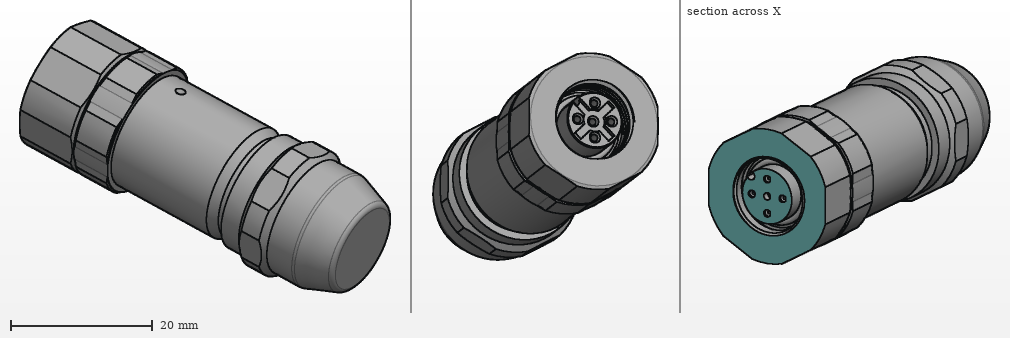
import cadquery as cq
import math


FLAT_HALF = 9.5
CORNER_RADIUS = 19.77 / 2
CHAMFER_RADIUS = 9.35

NUT_FRONT = 0.55
NUT_REAR = 9.95
NUT_FRONT_CHAMFER = 0.15
NUT_REAR_CHAMFER = 0.4
BORE_RADIUS = 11 / 2
RELIEF_RADIUS = 12.5 / 2
RELIEF_START = 5.0
BORE_FLOOR = 6.6

THREAD_PITCH = 1.0
THREAD_TURNS = 4.2
THREAD_RADIUS = 6.1
THREAD_HALF_WIDTH = 0.46
THREAD_OVERLAP = 0.1
THREAD_START_ANGLE = 205

RING_FRONT = 10.2
RING_REAR = 16.1
RING_CHAMFER = 0.25
LOBE_RADIUS = 19.18 / 2
NECK_RADIUS = 16.5 / 2

BODY_RADIUS = 17.5 / 2
BODY_REAR = 32.85
GROOVE_RADIUS = 15.8 / 2
GROOVE_FRONT = 34.3
GROOVE_REAR = 35.6
CLAMP_RADIUS = 18 / 2
CLAMP_HEX_FRONT = 38.7
CLAMP_HEX_REAR = 43.65
CLAMP_FRONT_CHAMFER = 0.85
CLAMP_REAR_CHAMFER = 1.0
TAPER_START = 48.2
OVERALL_LENGTH = 53.7
END_RADIUS = 7.0
END_FILLET = 0.9
TAPER_BLEND = 1.3

DIMPLE_X = 19.8
DIMPLE_TILT = 18
DIMPLE_RADIUS = 1.5 / 2
DIMPLE_FLOOR_RADIUS = 0.22
DIMPLE_DEPTH = 0.65

INSERT_RADIUS = 4.05
INSERT_CHAMFER = 0.15
SHOULDER_RADIUS = 5.4
SHOULDER_FRONT = 5.6
SHOULDER_FILLET = 0.5
SEAL_CENTRE_RADIUS = 8.8 / 2
SEAL_SECTION_RADIUS = 0.5
KEYWAY_RADIUS = 1.1 / 2
KEYWAY_OFFSET = 3.7
SLOT_WIDTH = 1.2
SLOT_HALF_LENGTH = 3.5
SLOT_DEPTH = 0.8
CENTRE_POCKET_RADIUS = 1.65

CONTACT_CIRCLE_RADIUS = 2.5
COUNTERSINK_RADIUS = 1.58 / 2
COUNTERSINK_DEPTH = 0.35
SOCKET_RADIUS = 1.0 / 2
SOCKET_DEPTH = 3.0
OUTER_TIP_RADIUS = 0.22
CENTRE_TIP_RADIUS = 0.45


def turned(points):
    """Solid of revolution about X from (x, radius) points."""
    return cq.Workplane("XY").polyline(points).close().revolve(360, (0, 0, 0), (1, 0, 0))


def cylinder(x_start, x_end, radius, y=0, z=0):
    """Cylinder along X."""
    return cq.Workplane("YZ", origin=(x_start, y, z)).circle(radius).extrude(x_end - x_start)


def hexagon(x_start, x_end, front_chamfer, rear_chamfer, chamfer_radius):
    """Hexagonal prism with its corners turned round and both ends chamfered."""
    across_corners = 2 * FLAT_HALF / math.cos(math.radians(30))
    prism = (
        cq.Workplane("YZ", origin=(x_start, 0, 0))
        .transformed(rotate=(0, 0, 30))
        .polygon(6, across_corners)
        .extrude(x_end - x_start)
    )
    envelope = turned([
        (x_start, 0),
        (x_start, chamfer_radius),
        (x_start + front_chamfer, CORNER_RADIUS),
        (x_end - rear_chamfer, CORNER_RADIUS),
        (x_end, chamfer_radius),
        (x_end, 0),
    ])
    return prism.intersect(envelope)


def thread_groove():
    """Helical V groove that runs out through the front face of the nut."""
    start = NUT_FRONT - THREAD_PITCH
    inner = BORE_RADIUS - THREAD_OVERLAP
    helix = cq.Wire.makeHelix(THREAD_PITCH, THREAD_TURNS * THREAD_PITCH, inner)
    groove = (
        cq.Workplane("XZ")
        .polyline([
            (inner, -THREAD_HALF_WIDTH),
            (THREAD_RADIUS, 0),
            (inner, THREAD_HALF_WIDTH),
        ])
        .close()
        .sweep(cq.Workplane(helix), isFrenet=True)
    )
    return (
        groove.rotate((0, 0, 0), (0, 1, 0), 90)
        .rotate((0, 0, 0), (1, 0, 0), THREAD_START_ANGLE)
        .translate((start, 0, 0))
    )


def coupling_nut():
    """Front nut with a threaded bore that ends in a wider relief."""
    nut = hexagon(NUT_FRONT, NUT_REAR, NUT_FRONT_CHAMFER, NUT_REAR_CHAMFER, CHAMFER_RADIUS)
    nut = nut.cut(cylinder(NUT_FRONT, BORE_FLOOR, BORE_RADIUS))
    nut = nut.cut(cylinder(RELIEF_START, BORE_FLOOR, RELIEF_RADIUS))
    return nut.cut(thread_groove())


def grip_ring():
    """Hexagonal ring whose flats carry shallow round lobes."""
    hexed = hexagon(RING_FRONT, RING_REAR, RING_CHAMFER, RING_CHAMFER, CHAMFER_RADIUS)
    return hexed.union(cylinder(RING_FRONT, RING_REAR, LOBE_RADIUS))


def dimple():
    """Tapered dimple pointing at the axis, tilted from +Z towards +Y."""
    cone = cq.Solid.makeCone(
        DIMPLE_FLOOR_RADIUS,
        2 * DIMPLE_RADIUS - DIMPLE_FLOOR_RADIUS,
        2 * DIMPLE_DEPTH,
        pnt=cq.Vector(DIMPLE_X, 0, BODY_RADIUS - DIMPLE_DEPTH),
        dir=cq.Vector(0, 0, 1),
    )
    return cq.Workplane(cone).rotate((0, 0, 0), (1, 0, 0), -DIMPLE_TILT)


def sleeve():
    """Neck behind the coupling nut, cylindrical sleeve and the groove behind it."""
    body = turned([
        (NUT_REAR, 0),
        (NUT_REAR, NECK_RADIUS),
        (RING_FRONT, NECK_RADIUS),
        (RING_FRONT, BODY_RADIUS),
        (BODY_REAR, BODY_RADIUS),
        (GROOVE_FRONT, GROOVE_RADIUS),
        (GROOVE_REAR, GROOVE_RADIUS),
        (GROOVE_REAR, 0),
    ])
    return body.cut(dimple())


def clamping_nut():
    """Rear nut with a hexagonal collar and a tapered, rounded end."""
    cap = turned([
        (GROOVE_REAR, 0),
        (GROOVE_REAR, CLAMP_RADIUS),
        (TAPER_START, CLAMP_RADIUS),
        (OVERALL_LENGTH, END_RADIUS),
        (OVERALL_LENGTH, 0),
    ])
    cap = cap.faces(">X").edges().fillet(END_FILLET)
    taper_edge = cq.selectors.BoxSelector(
        (TAPER_START - TAPER_BLEND / 2, -CORNER_RADIUS, -CORNER_RADIUS),
        (TAPER_START + TAPER_BLEND / 2, CORNER_RADIUS, CORNER_RADIUS),
        boundingbox=True,
    )
    cap = cap.edges(taper_edge).fillet(TAPER_BLEND)
    hexed = hexagon(
        CLAMP_HEX_FRONT, CLAMP_HEX_REAR, CLAMP_FRONT_CHAMFER, CLAMP_REAR_CHAMFER, CLAMP_RADIUS
    )
    return cap.union(hexed)


def contact_socket(x_face, y, z, tip_radius):
    """Countersunk hole for one contact, opening at x_face and narrowing to tip_radius at its end."""
    socket_end = x_face + SOCKET_DEPTH
    tip = socket_end + SOCKET_RADIUS - tip_radius
    socket = turned([
        (x_face, 0),
        (x_face, COUNTERSINK_RADIUS),
        (x_face + COUNTERSINK_DEPTH, SOCKET_RADIUS),
        (socket_end, SOCKET_RADIUS),
        (tip, tip_radius),
        (tip, 0),
    ])
    return socket.translate((0, y, z))


def contact_insert():
    """Five-pole insert with its shoulder, seal ring, keyway, crossed slots and contacts."""
    insert = cylinder(0, BORE_FLOOR, INSERT_RADIUS).faces("<X").chamfer(INSERT_CHAMFER)
    shoulder = cylinder(SHOULDER_FRONT, BORE_FLOOR, SHOULDER_RADIUS)
    insert = insert.union(shoulder.faces("<X").edges().fillet(SHOULDER_FILLET))
    seal = cq.Solid.makeTorus(
        SEAL_CENTRE_RADIUS,
        SEAL_SECTION_RADIUS,
        pnt=cq.Vector(SHOULDER_FRONT, 0, 0),
        dir=cq.Vector(1, 0, 0),
    )
    insert = insert.union(cq.Workplane(seal))

    keyway_side = KEYWAY_OFFSET * math.cos(math.radians(45))
    keyway_end = SHOULDER_FRONT - SEAL_SECTION_RADIUS
    insert = insert.cut(cylinder(0, keyway_end, KEYWAY_RADIUS, keyway_side, keyway_side))

    for angle in (45, 135):
        slot = cq.Workplane("YZ").rect(2 * SLOT_HALF_LENGTH, SLOT_WIDTH).extrude(SLOT_DEPTH)
        insert = insert.cut(slot.rotate((0, 0, 0), (1, 0, 0), angle))
    insert = insert.cut(cylinder(0, SLOT_DEPTH, CENTRE_POCKET_RADIUS))

    insert = insert.cut(contact_socket(SLOT_DEPTH, 0, 0, CENTRE_TIP_RADIUS))
    for angle in range(0, 360, 90):
        y = CONTACT_CIRCLE_RADIUS * math.cos(math.radians(angle))
        z = CONTACT_CIRCLE_RADIUS * math.sin(math.radians(angle))
        insert = insert.cut(contact_socket(0, y, z, OUTER_TIP_RADIUS))
    return insert


result = (
    coupling_nut()
    .union(contact_insert())
    .union(sleeve())
    .union(grip_ring())
    .union(clamping_nut())
)